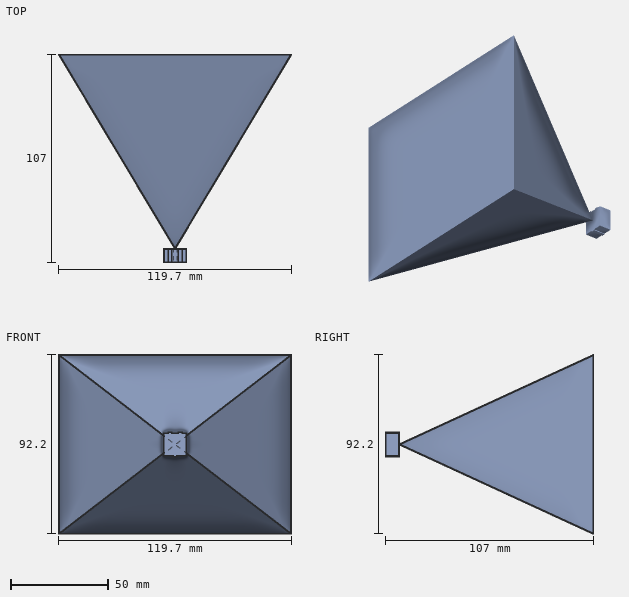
import cadquery as cq

pyramid_width = 119.7
pyramid_height = 92.2
total_depth = 107.0

block_width = 11.6
block_height = 11.6
block_depth = 7.0
rib_width = 1.9
rib_height = 0.5
top_rib_offset = 2.6

pyramid_depth = total_depth - block_depth


def make_pyramid():
    """Solid pyramid with its apex at the origin, opening toward +Y."""
    half_width = pyramid_width / 2
    half_height = pyramid_height / 2
    apex = cq.Vector(0, 0, 0)
    corners = [
        cq.Vector(-half_width, pyramid_depth, -half_height),
        cq.Vector(half_width, pyramid_depth, -half_height),
        cq.Vector(half_width, pyramid_depth, half_height),
        cq.Vector(-half_width, pyramid_depth, half_height),
    ]
    next_corners = corners[1:] + corners[:1]
    outlines = [corners]
    for corner, next_corner in zip(corners, next_corners):
        outlines.append([apex, corner, next_corner])
    faces = [
        cq.Face.makeFromWires(cq.Wire.makePolygon(outline, close=True))
        for outline in outlines
    ]
    return cq.Solid.makeSolid(cq.Shell.makeShell(faces))


def make_block():
    """Block in front of the apex: two ribs on its top and one below."""
    block = cq.Workplane("XY").box(block_width, block_depth, block_height)
    rib_height_center = (block_height + rib_height) / 2
    rib_places = [
        (-top_rib_offset, rib_height_center),
        (top_rib_offset, rib_height_center),
        (0, -rib_height_center),
    ]
    for x, z in rib_places:
        rib = cq.Workplane("XY").box(rib_width, block_depth, rib_height)
        block = block.union(rib.translate((x, 0, z)))
    return block.translate((0, -block_depth / 2, 0))


pyramid = make_pyramid()
block = make_block()

result = cq.Compound.makeCompound([pyramid, block.val()])